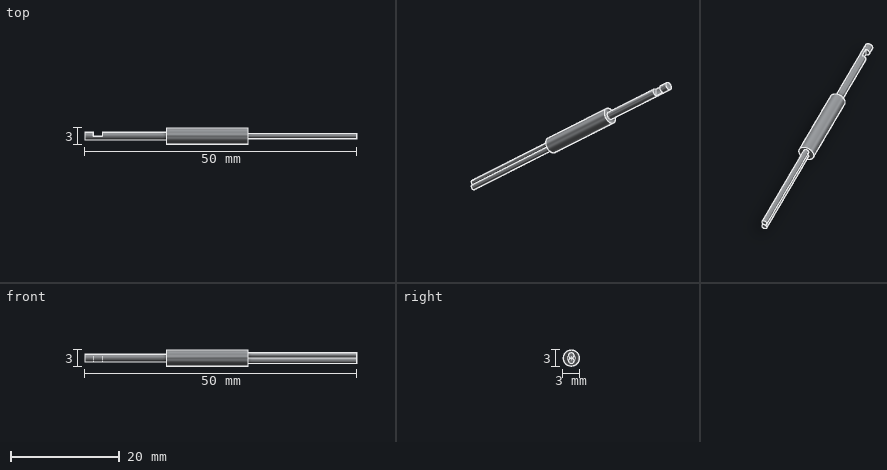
import cadquery as cq


SLEEVE_DIAMETER = 3.0
SLEEVE_LENGTH = 15.0

ROD_DIAMETER = 1.47
ROD_LENGTH = 15.0

NOTCH_START = 1.55
NOTCH_LENGTH = 1.7
NOTCH_DEPTH = ROD_DIAMETER / 2

LEAD_DIAMETER = 1.0
LEAD_LENGTH = 20.0
LEAD_SPACING = LEAD_DIAMETER

ROD_TIP_X = 0.0
SLEEVE_START_X = ROD_TIP_X + ROD_LENGTH
SLEEVE_END_X = SLEEVE_START_X + SLEEVE_LENGTH


def cylinder_along_x(start_x, length, diameter, center_z=0.0):
    """Solid cylinder running toward +X from start_x."""
    return (
        cq.Workplane("YZ", origin=(start_x, 0, center_z))
        .circle(diameter / 2)
        .extrude(length)
    )


def make_sleeve():
    return cylinder_along_x(SLEEVE_START_X, SLEEVE_LENGTH, SLEEVE_DIAMETER)


def make_rod():
    """Tip rod with a flat-floored notch near its free end."""
    rod = cylinder_along_x(ROD_TIP_X, ROD_LENGTH, ROD_DIAMETER)
    notch_floor_y = ROD_DIAMETER / 2 - NOTCH_DEPTH
    notch = (
        cq.Workplane("XY", origin=(ROD_TIP_X + NOTCH_START, notch_floor_y, 0))
        .box(NOTCH_LENGTH, ROD_DIAMETER, ROD_DIAMETER, centered=(False, False, True))
    )
    return rod.cut(notch)


def make_lead(center_z):
    return cylinder_along_x(SLEEVE_END_X, LEAD_LENGTH, LEAD_DIAMETER, center_z)


sleeve = make_sleeve()
rod = make_rod()
leads = [make_lead(side * LEAD_SPACING / 2) for side in (1, -1)]

result = cq.Compound.makeCompound([sleeve.val(), rod.val(), *[lead.val() for lead in leads]])